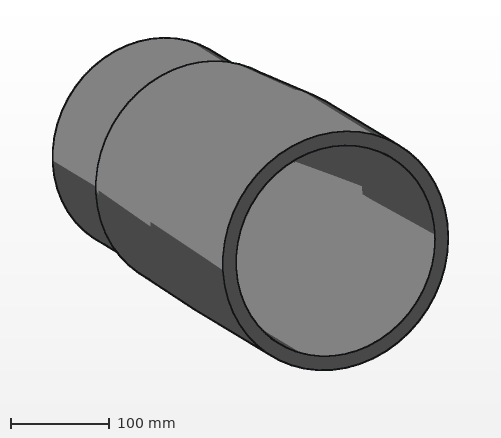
import cadquery as cq

small_diameter = 225.0
small_wall = 13.4
large_diameter = 250.0
large_wall = 14.8

shoulder_height = small_wall / 2
shoulder_diameter = small_diameter + 2 * shoulder_height

bevel_start = 118.0
bevel_end = bevel_start + shoulder_height
taper_start = 131.0
taper_end = 262.0
total_length = 445.0

small_axis_y = -(large_diameter - shoulder_diameter) / 2

small_bore = small_diameter - 2 * small_wall
large_bore = large_diameter - 2 * large_wall


def frustum(x_start, x_end, start_diameter, end_diameter, start_y, end_y):
    """Round section along X whose diameter and axis may change between its two ends."""
    return (
        cq.Workplane("YZ", origin=(x_start, 0, 0))
        .center(start_y, 0)
        .circle(start_diameter / 2)
        .workplane(offset=x_end - x_start)
        .center(end_y - start_y, 0)
        .circle(end_diameter / 2)
        .loft(ruled=True, combine=True)
    )


def pipe(x_start, x_end, diameter, axis_y):
    """Straight round section along X."""
    return (
        cq.Workplane("YZ", origin=(x_start, 0, 0))
        .center(axis_y, 0)
        .circle(diameter / 2)
        .extrude(x_end - x_start)
    )


def outer_body():
    small_pipe = pipe(0, bevel_start, small_diameter, small_axis_y)
    bevel = frustum(
        bevel_start, bevel_end, small_diameter, shoulder_diameter, small_axis_y, small_axis_y
    )
    shoulder = pipe(bevel_end, taper_start, shoulder_diameter, small_axis_y)
    taper = frustum(taper_start, taper_end, shoulder_diameter, large_diameter, small_axis_y, 0)
    large_pipe = pipe(taper_end, total_length, large_diameter, 0)
    return small_pipe.union(bevel).union(shoulder).union(taper).union(large_pipe)


def bore():
    small_passage = pipe(0, taper_start, small_bore, small_axis_y)
    taper = frustum(taper_start, taper_end, small_bore, large_bore, small_axis_y, 0)
    large_passage = pipe(taper_end, total_length, large_bore, 0)
    return small_passage.union(taper).union(large_passage)


result = outer_body().cut(bore())